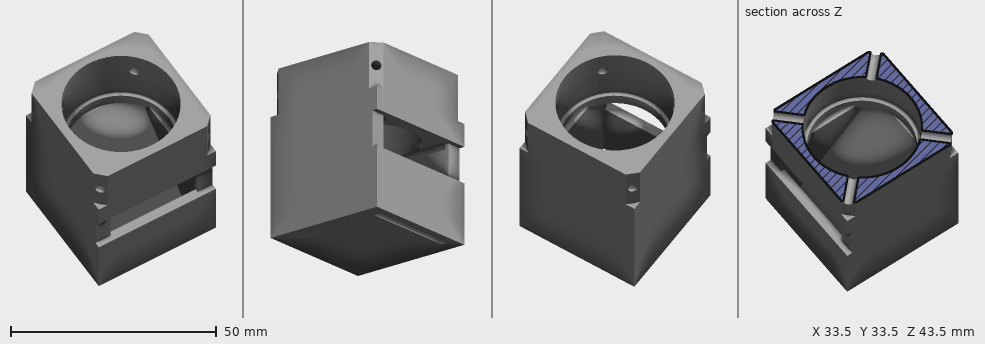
import cadquery as cq

block_width = 33.5
block_height = 43.5
half_width = block_width / 2

socket_radius = 14.5
socket_depth = 15.0
bore_radius = 13.5

corner_cut = 2.5
corner_cut_height = 12.0
screw_hole_diameter = 2.5
screw_hole_height = block_height - corner_cut_height / 2

prism_size = 25.4
half_prism = prism_size / 2
pocket_size = 25.5
half_pocket = pocket_size / 2
relief_radius = 1.25

plate_thickness = 2.5
plate_height = 27.5
plate_inner_x = half_width - plate_thickness
groove_depth = 1.5
groove_height = 9.5
window_width = 25.0
groove_bottom_z = pocket_size - groove_height


def box_between(x_range, y_range, z_range):
    """Axis-aligned box given by its lower and upper bound on each axis."""
    (x0, x1), (y0, y1), (z0, z1) = x_range, y_range, z_range
    return cq.Workplane("XY").box(x1 - x0, y1 - y0, z1 - z0, centered=False).translate((x0, y0, z0))


def plate_blank():
    """Full-width plate shape, also used as the recess for it in the housing."""
    return box_between((plate_inner_x, half_width), (-half_width, half_width), (0, plate_height))


def corner_chamfers():
    """Triangular prisms that cut the four upper vertical edges."""
    cutters = cq.Workplane("XY")
    for x_sign in (-1, 1):
        for y_sign in (-1, 1):
            corner = (x_sign * half_width, y_sign * half_width)
            cutters = cutters.union(
                cq.Workplane("XY", origin=(0, 0, block_height - corner_cut_height))
                .moveTo(*corner)
                .lineTo(corner[0] - x_sign * corner_cut, corner[1])
                .lineTo(corner[0], corner[1] - y_sign * corner_cut)
                .close()
                .extrude(corner_cut_height)
            )
    return cutters


def screw_holes():
    """Two crossing diagonal drills that open through all four chamfers into the socket."""
    drills = cq.Workplane("XY")
    for angle in (45, 135):
        drill = (
            cq.Workplane("YZ")
            .circle(screw_hole_diameter / 2)
            .extrude(block_width, both=True)
            .rotate((0, 0, 0), (0, 0, 1), angle)
            .translate((0, 0, screw_hole_height))
        )
        drills = drills.union(drill)
    return drills


def prism_pocket():
    """Square pocket open at the bottom and at +X, with round reliefs along its upper corners."""
    pocket = box_between((-half_pocket, plate_inner_x), (-half_pocket, half_pocket), (0, pocket_size))
    reliefs = (
        cq.Workplane("YZ", origin=(-half_pocket, 0, 0))
        .pushPoints([(-half_pocket, pocket_size), (half_pocket, pocket_size)])
        .circle(relief_radius)
        .extrude(half_pocket + plate_inner_x)
    )
    return pocket.union(reliefs)


def make_housing():
    socket_floor_z = block_height - socket_depth
    socket = cq.Workplane("XY", origin=(0, 0, socket_floor_z)).circle(socket_radius).extrude(socket_depth)
    bore = (
        cq.Workplane("XY", origin=(0, 0, pocket_size))
        .circle(bore_radius)
        .extrude(socket_floor_z - pocket_size)
    )
    return (
        cq.Workplane("XY")
        .box(block_width, block_width, block_height, centered=(True, True, False))
        .cut(corner_chamfers())
        .cut(screw_holes())
        .cut(socket)
        .cut(bore)
        .cut(prism_pocket())
        .cut(plate_blank())
    )


def make_cover_plate():
    """Plate with a full-width outer groove and a narrower window in the groove floor."""
    groove_floor_x = half_width - groove_depth
    groove_z = (groove_bottom_z, pocket_size)
    groove = box_between((groove_floor_x, half_width), (-half_width, half_width), groove_z)
    window = box_between((plate_inner_x, groove_floor_x), (-window_width / 2, window_width / 2), groove_z)
    return plate_blank().cut(groove).cut(window)


def make_prism():
    """Right-angle prism with its sloping face turned up and toward +X, seated against the pocket's -X wall."""
    wall_x = -half_pocket
    return (
        cq.Workplane("XZ")
        .moveTo(wall_x, 0)
        .lineTo(wall_x + prism_size, 0)
        .lineTo(wall_x, prism_size)
        .close()
        .extrude(half_prism, both=True)
    )


housing = make_housing()
cover_plate = make_cover_plate()
prism = make_prism()

result = cq.Compound.makeCompound([housing.solids().val(), cover_plate.solids().val(), prism.solids().val()])